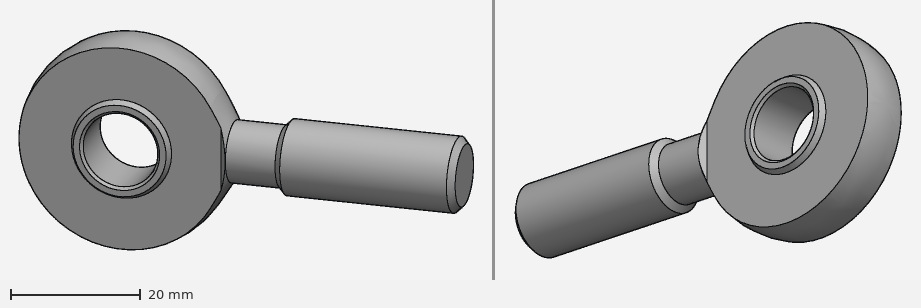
import cadquery as cq
import math


eye_radius = 17.0
eye_width = 8.0

shank_diameter = 12.0
neck_diameter = 9.85
shank_start = 25.0
shank_end = 54.0
shank_chamfer = (shank_diameter - neck_diameter) / 2

ramp_setback = 1.0
ramp_start = eye_radius - ramp_setback

ball_radius = 9.0
ball_width = 10.0
bore_diameter = 12.0
bore_chamfer = 0.45


def make_eye_and_shank():
    """Turned blank: sphere, cone tangent to it, neck and shank, revolved about X."""
    neck_radius = neck_diameter / 2
    shank_radius = shank_diameter / 2
    tangent_angle = 2 * math.atan(neck_radius / eye_radius)
    tangent_point = (eye_radius * math.cos(tangent_angle), eye_radius * math.sin(tangent_angle))
    return (
        cq.Workplane("XY")
        .moveTo(-eye_radius, 0)
        .threePointArc((0, eye_radius), tangent_point)
        .lineTo(eye_radius, neck_radius)
        .lineTo(shank_start, neck_radius)
        .lineTo(shank_start + shank_chamfer, shank_radius)
        .lineTo(shank_end - shank_chamfer, shank_radius)
        .lineTo(shank_end, shank_radius - shank_chamfer)
        .lineTo(shank_end, 0)
        .close()
        .revolve(360, (0, 0, 0), (1, 0, 0))
    )


def make_flat_cutter(side):
    """Material removed on one side (+1 or -1 along Y), ending in a ramp at the neck."""
    flat = eye_width / 2
    ramp_top = ramp_start + eye_radius - flat
    profile = [
        (-eye_radius, side * flat),
        (ramp_start, side * flat),
        (ramp_top, side * eye_radius),
        (-eye_radius, side * eye_radius),
    ]
    return cq.Workplane("XY").polyline(profile).close().extrude(eye_radius, both=True)


def make_ball():
    """Spherical ball with flat ends."""
    slab = cq.Workplane("XY").box(2 * ball_radius, ball_width, 2 * ball_radius)
    return cq.Workplane("XY").sphere(ball_radius).intersect(slab)


def make_bore():
    """Through bore along Y with a chamfer at each end of the ball."""
    half_width = ball_width / 2
    bore_radius = bore_diameter / 2
    mouth_radius = bore_radius + bore_chamfer
    return (
        cq.Workplane("XY")
        .moveTo(0, -half_width)
        .lineTo(mouth_radius, -half_width)
        .lineTo(bore_radius, -half_width + bore_chamfer)
        .lineTo(bore_radius, half_width - bore_chamfer)
        .lineTo(mouth_radius, half_width)
        .lineTo(0, half_width)
        .close()
        .revolve(360, (0, 0, 0), (0, 1, 0))
    )


body = make_eye_and_shank()
for side in (1, -1):
    body = body.cut(make_flat_cutter(side))

result = body.union(make_ball()).cut(make_bore())